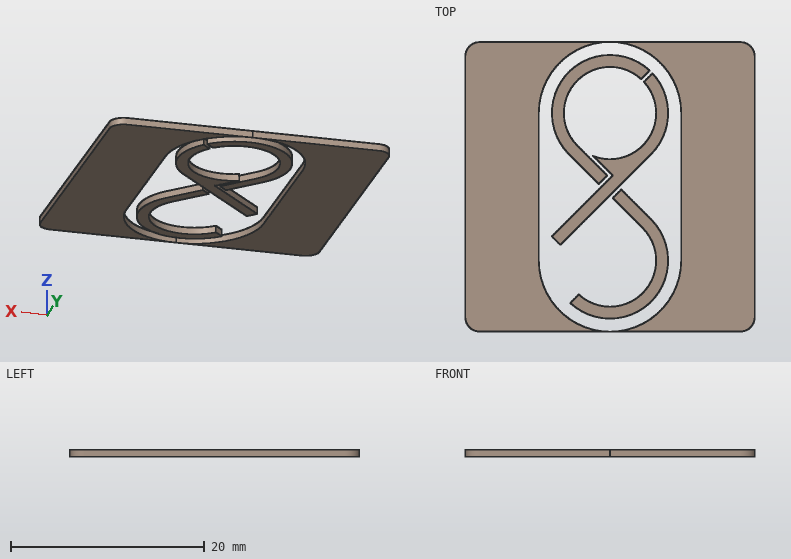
import cadquery as cq
import math

side = 30.0
thickness = 0.75
corner_radius = 1.5

loop_radius = 5.4
band_width = 1.25
gap = 0.4
stem_tail = 7.9

half_side = side / 2
half_band = band_width / 2
half_gap = gap / 2
outer_radius = loop_radius + half_band
inner_radius = loop_radius - half_band
clearance_edge = half_band + gap
diagonal_angle = 45.0

opening_center = loop_radius * math.sqrt(2)
opening_radius = half_side - opening_center

outer_end = loop_radius + math.sqrt(outer_radius**2 - half_gap**2)
inner_end = loop_radius + math.sqrt(inner_radius**2 - half_gap**2)


def make_side_plate():
    """Left half of the rounded square, hollowed by half of the opening."""
    arc_offset = opening_radius * math.sqrt(0.5)
    plate = (
        cq.Workplane("XY")
        .moveTo(0, half_side)
        .lineTo(-half_side, half_side)
        .lineTo(-half_side, -half_side)
        .lineTo(0, -half_side)
        .threePointArc(
            (-arc_offset, -opening_center - arc_offset),
            (-opening_radius, -opening_center),
        )
        .lineTo(-opening_radius, opening_center)
        .threePointArc((-arc_offset, opening_center + arc_offset), (0, half_side))
        .close()
        .extrude(thickness)
    )
    return plate.edges("|Z and <X").fillet(corner_radius)


def turn_about_middle(body, angle):
    return body.rotate((0, 0, 0), (0, 0, 1), angle)


def make_hook():
    """Short straight arm followed by half a loop."""
    end_y = loop_radius + half_gap
    hook = (
        cq.Workplane("XY")
        .moveTo(-half_band, clearance_edge)
        .lineTo(-half_band, loop_radius)
        .threePointArc((loop_radius, loop_radius + outer_radius), (outer_end, end_y))
        .lineTo(inner_end, end_y)
        .threePointArc((loop_radius, loop_radius + inner_radius), (half_band, loop_radius))
        .lineTo(half_band, clearance_edge)
        .close()
        .extrude(thickness)
    )
    return hook


def make_stem():
    """Long straight stem with a quarter loop and a pointed web beside the hook."""
    end_y = loop_radius - half_gap
    diagonal = math.sqrt(0.5)
    tip_y = loop_radius - math.sqrt(inner_radius**2 - (loop_radius - clearance_edge) ** 2)
    stem = (
        cq.Workplane("XY")
        .moveTo(-stem_tail, -half_band)
        .lineTo(loop_radius, -half_band)
        .threePointArc(
            (loop_radius + outer_radius * diagonal, loop_radius - outer_radius * diagonal),
            (outer_end, end_y),
        )
        .lineTo(inner_end, end_y)
        .threePointArc((loop_radius, half_band), (clearance_edge, tip_y))
        .lineTo(clearance_edge, half_band)
        .lineTo(-stem_tail, half_band)
        .close()
        .extrude(thickness)
    )
    return turn_about_middle(stem, diagonal_angle)


side_plates = []
hooks = []
for half_turn in (0, 180):
    side_plates.append(turn_about_middle(make_side_plate(), half_turn).val())
    hooks.append(turn_about_middle(make_hook(), diagonal_angle + half_turn).val())

stem = make_stem()

result = cq.Compound.makeCompound([*side_plates, *hooks, stem.val()])